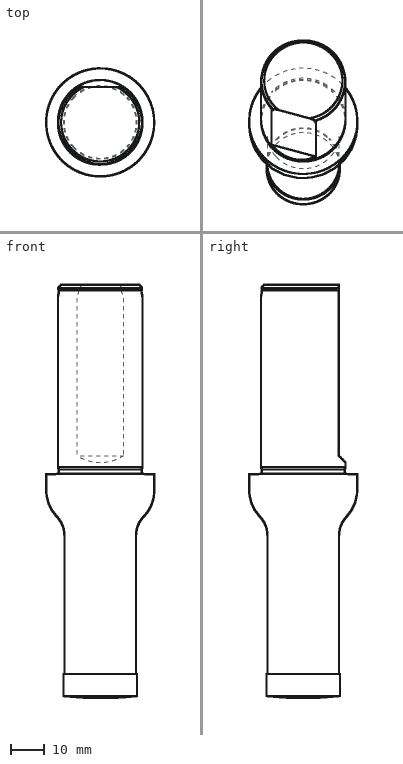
import cadquery as cq
import math

total_height = 122.0

head_radius = 21.7 / 2
head_top = 7.2
tip_dome_height = 0.6

body_radius = 21.2 / 2
body_top = 48.1

collar_radius = 32.0 / 2
collar_bottom = 61.2
collar_top = 66.1
convex_radius = 11.0

foot_radius = 26.5 / 2
foot_top = 66.2

shank_radius = 25.0 / 2
neck_radius = 24.5 / 2
neck_top = 67.5
shank_bottom = 68.2
shank_top = 118.5
top_neck_height = 119.7
rim_bottom = 120.3
rim_edge = 120.7
rim_top = 121.0
rim_radius = 24.8 / 2
top_face_radius = 23.0 / 2

flat_offset = 10.5
flat_bottom = 71.5


def make_cutting_head():
    """Short cylinder with a shallow domed tip."""
    dome_radius = (head_radius**2 + tip_dome_height**2) / (2 * tip_dome_height)
    dome_mid_height = dome_radius - math.sqrt(dome_radius**2 - (head_radius / 2) ** 2)
    profile = (
        cq.Workplane("XZ")
        .moveTo(0, 0)
        .threePointArc((head_radius / 2, dome_mid_height), (head_radius, tip_dome_height))
        .lineTo(head_radius, head_top)
        .lineTo(0, head_top)
        .close()
    )
    return profile.revolve(360, (0, 0, 0), (0, 1, 0))


def make_revolved_holder():
    """Body, collar and shank as one turned profile."""
    step = collar_radius - body_radius
    rise = collar_bottom - body_top
    radius_sum = (step**2 + rise**2) / (2 * step)
    concave_radius = radius_sum - convex_radius
    sweep = math.asin(rise / radius_sum)

    def concave_point(angle):
        return (
            body_radius + concave_radius * (1 - math.cos(angle)),
            body_top + concave_radius * math.sin(angle),
        )

    def convex_point(angle):
        return (
            collar_radius - convex_radius * (1 - math.cos(angle)),
            collar_bottom - convex_radius * math.sin(angle),
        )

    profile = (
        cq.Workplane("XZ")
        .moveTo(0, head_top)
        .lineTo(body_radius, head_top)
        .lineTo(body_radius, body_top)
        .threePointArc(concave_point(sweep / 2), concave_point(sweep))
        .threePointArc(convex_point(sweep / 2), (collar_radius, collar_bottom))
        .lineTo(collar_radius, collar_top)
        .lineTo(foot_radius, collar_top)
        .lineTo(neck_radius, foot_top)
        .lineTo(neck_radius, neck_top)
        .lineTo(shank_radius, shank_bottom)
        .lineTo(shank_radius, shank_top)
        .lineTo(neck_radius, top_neck_height)
        .lineTo(neck_radius, rim_bottom)
        .lineTo(rim_radius, rim_edge)
        .lineTo(rim_radius, rim_top)
        .lineTo(top_face_radius, total_height)
        .lineTo(0, total_height)
        .close()
    )
    return profile.revolve(360, (0, 0, 0), (0, 1, 0))


def make_flat_cutter():
    """Material removed for the flat, with its 45 degree run-out."""
    depth = foot_radius - flat_offset
    return (
        cq.Workplane("YZ")
        .moveTo(flat_offset, total_height)
        .lineTo(flat_offset, flat_bottom)
        .lineTo(flat_offset + depth, flat_bottom - depth)
        .lineTo(flat_offset + depth, total_height)
        .close()
        .extrude(shank_radius, both=True)
    )


cutting_head = make_cutting_head()
holder = make_revolved_holder().cut(make_flat_cutter())

result = cq.Compound.makeCompound([cutting_head.val(), holder.val()])